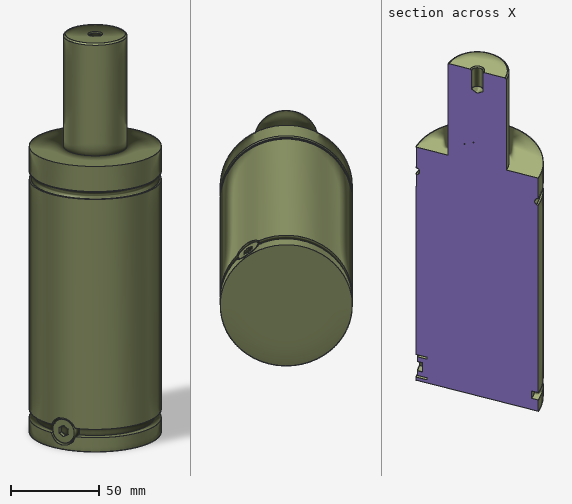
import cadquery as cq
import math

total_height = 237.0
body_radius = 75.0 / 2
rod_radius = 36.0 / 2
body_top = 170.2
rod_chamfer = 1.0

lower_groove_bottom = 8.5
lower_groove_top = 13.5
lower_groove_radius = 33.5

upper_groove_bottom = 150.5
upper_groove_top = 154.5
upper_groove_depth = 2.1
upper_groove_wall = 1.2
head_chamfer = 0.7

rod_hole_radius = 6.9 / 2
rod_hole_depth = 14.2
rod_hole_chamfer = 0.7
drill_point_angle = 118.0

port_height = 10.7
port_radius = 16.0 / 2
plug_radius = 14.0 / 2
port_depth = 6.6
socket_across_flats = 5.7
socket_depth = 2.8


def make_body():
    groove_middle = (upper_groove_bottom + upper_groove_top) / 2
    return (
        cq.Workplane("XZ")
        .lineTo(body_radius, 0)
        .lineTo(body_radius, lower_groove_bottom)
        .lineTo(lower_groove_radius, lower_groove_bottom)
        .lineTo(lower_groove_radius, lower_groove_top)
        .lineTo(body_radius, lower_groove_top)
        .lineTo(body_radius, upper_groove_bottom)
        .lineTo(body_radius - upper_groove_wall, upper_groove_bottom)
        .threePointArc(
            (body_radius - upper_groove_depth, groove_middle),
            (body_radius - upper_groove_wall, upper_groove_top),
        )
        .lineTo(body_radius - head_chamfer, upper_groove_top)
        .lineTo(body_radius, upper_groove_top + head_chamfer)
        .lineTo(body_radius, body_top)
        .lineTo(rod_radius, body_top)
        .lineTo(rod_radius, total_height - rod_chamfer)
        .lineTo(rod_radius - rod_chamfer, total_height)
        .lineTo(0, total_height)
        .close()
        .revolve(360, (0, 0, 0), (0, 1, 0))
    )


def make_rod_hole():
    wall_bottom = total_height - rod_hole_depth
    point_depth = rod_hole_radius / math.tan(math.radians(drill_point_angle / 2))
    return (
        cq.Workplane("XZ")
        .moveTo(0, total_height)
        .lineTo(rod_hole_radius + rod_hole_chamfer, total_height)
        .lineTo(rod_hole_radius, total_height - rod_hole_chamfer)
        .lineTo(rod_hole_radius, wall_bottom)
        .lineTo(0, wall_bottom - point_depth)
        .close()
        .revolve(360, (0, 0, 0), (0, 1, 0))
    )


def port_plane(distance):
    """Plane facing -Y, centred on the port at this distance from the body axis."""
    return cq.Workplane("XZ", origin=(0, -distance, port_height))


def add_port(body):
    face_distance = math.sqrt(body_radius**2 - port_radius**2)
    floor_distance = body_radius - port_depth
    bore = port_plane(floor_distance).circle(port_radius).extrude(port_depth)
    plug = port_plane(floor_distance).circle(plug_radius).extrude(face_distance - floor_distance)
    socket_corner_diameter = socket_across_flats / math.cos(math.pi / 6)
    socket = (
        port_plane(face_distance - socket_depth)
        .transformed(rotate=(0, 0, 90))
        .polygon(6, socket_corner_diameter)
        .extrude(socket_depth)
    )
    return body.cut(bore).union(plug).cut(socket)


result = add_port(make_body().cut(make_rod_hole()))